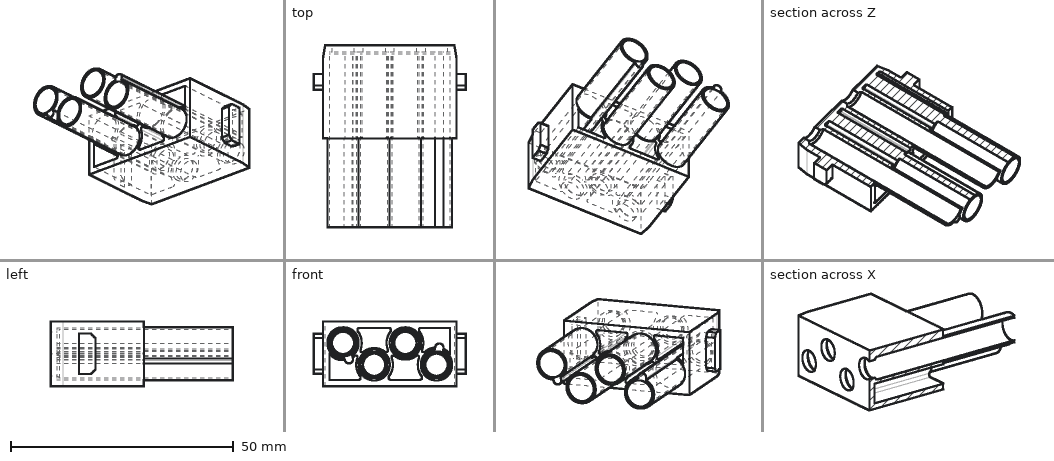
import cadquery as cq
import math

TOTAL_WIDTH = 34.2
TOTAL_LENGTH = 40.9
HOUSING_WIDTH = 30.02
HOUSING_HEIGHT = 14.6
TUBE_PROTRUSION = 20.0
HOUSING_LENGTH = TOTAL_LENGTH - TUBE_PROTRUSION

TAPER_LENGTH = 2.82
TAPER_INSET = 0.5

LATCH_LENGTH = 3.6
LATCH_HEIGHT = 9.05
LATCH_CHAMFER = 1.0
LATCH_START = 10.88

TUBE_COUNT = 4
TUBE_PITCH = 7.0
ROW_OFFSET = 2.45
TUBE_RADIUS = 3.5
MOUTH_RADIUS = 3.03
REAR_BORE_RADIUS = 2.5

RIB_RADIUS = 0.95
RIB_DISTANCE = 3.9
FIRST_RIB_LEAN = 20.0
LAST_RIB_LEAN = 9.5

WALL = 1.47
FLOOR = 1.47
POCKET_DEPTH = HOUSING_LENGTH - FLOOR
TUBE_LENGTH = TUBE_PROTRUSION + POCKET_DEPTH
INNER_CORNER_RADIUS = 0.4
OUTER_CORNER_RADIUS = 0.5
MIDPLANE_GAP = 0.35
INNER_FACING_RADIUS = 3.75
INNER_SIDE_RADIUS = 4.2
END_FACING_RADIUS = 3.9
END_SIDE_RADIUS = 4.05

TUBE_CENTRES = [
    ((i - (TUBE_COUNT - 1) / 2) * TUBE_PITCH, ROW_OFFSET if i % 2 == 0 else -ROW_OFFSET)
    for i in range(TUBE_COUNT)
]


def cylinder_along_y(centre, radius, start, length):
    """Round bar centred at (x, z), running from Y = start toward +Y."""
    x, z = centre
    return cq.Workplane("XY").add(
        cq.Solid.makeCylinder(radius, length, cq.Vector(x, start, z), cq.Vector(0, 1, 0))
    )


def make_housing():
    half_width = HOUSING_WIDTH / 2
    rear_half_width = half_width - TAPER_INSET
    taper_start = HOUSING_LENGTH - TAPER_LENGTH
    outline = [
        (-half_width, 0),
        (half_width, 0),
        (half_width, taper_start),
        (rear_half_width, HOUSING_LENGTH),
        (-rear_half_width, HOUSING_LENGTH),
        (-half_width, taper_start),
    ]
    return cq.Workplane("XY").polyline(outline).close().extrude(HOUSING_HEIGHT / 2, both=True)


def make_latches():
    """One bar through the housing; its ends stand out as the two latches."""
    return (
        cq.Workplane("XY")
        .box(TOTAL_WIDTH, LATCH_LENGTH, LATCH_HEIGHT)
        .faces("<Y")
        .edges("|X")
        .chamfer(LATCH_CHAMFER)
        .translate((0, LATCH_START + LATCH_LENGTH / 2, 0))
    )


def box_between(x_limits, z_limits):
    """Pocket-deep box spanning two X limits and two Z limits, given in any order."""
    x_min, x_max = sorted(x_limits)
    z_min, z_max = sorted(z_limits)
    box = cq.Workplane("XY").box(x_max - x_min, POCKET_DEPTH, z_max - z_min, centered=False)
    return box.translate((x_min, 0, z_min))


def make_pocket(index):
    """Pocket above or below one tube, kept clear of that tube and its neighbours."""
    x, z = TUBE_CENTRES[index]
    is_end = index in (0, TUBE_COUNT - 1)
    facing_radius = END_FACING_RADIUS if is_end else INNER_FACING_RADIUS
    side_radius = END_SIDE_RADIUS if is_end else INNER_SIDE_RADIUS
    end_wall_x = HOUSING_WIDTH / 2 - WALL
    away_from_tube = -math.copysign(1, z)
    outer_z = away_from_tube * (HOUSING_HEIGHT / 2 - WALL)
    inner_z = away_from_tube * MIDPLANE_GAP

    left = max(x - TUBE_PITCH, -end_wall_x)
    right = min(x + TUBE_PITCH, end_wall_x)
    pocket = box_between((left, right), (inner_z, outer_z))
    if is_end:
        pocket = pocket.union(box_between((x, math.copysign(end_wall_x, x)), (z, outer_z)))

    pocket = pocket.cut(cylinder_along_y((x, z), facing_radius, 0, POCKET_DEPTH))
    for neighbour in (index - 1, index + 1):
        if 0 <= neighbour < TUBE_COUNT:
            pocket = pocket.cut(cylinder_along_y(TUBE_CENTRES[neighbour], side_radius, 0, POCKET_DEPTH))

    main_solid = max(pocket.solids().vals(), key=lambda solid: solid.Volume())

    inner_corners = []
    outer_corners = []
    for edge in cq.Workplane("XY").add(main_solid).edges("|Y").vals():
        position = edge.Center()
        if abs(position.x) > end_wall_x - OUTER_CORNER_RADIUS:
            continue
        if abs(position.z) < ROW_OFFSET:
            inner_corners.append(edge)
        else:
            outer_corners.append(edge)
    rounded = main_solid.fillet(OUTER_CORNER_RADIUS, outer_corners)
    rounded = rounded.fillet(INNER_CORNER_RADIUS, inner_corners)
    return cq.Workplane("XY").add(rounded)


def make_rib(tube_centre, lean):
    """Rib standing radially on a tube, with flat flanks and a half-round top."""
    x, z = tube_centre
    crown = cylinder_along_y((0, RIB_DISTANCE), RIB_RADIUS, -TUBE_PROTRUSION, TUBE_LENGTH)
    flank_middle = (0, -TUBE_PROTRUSION + TUBE_LENGTH / 2, RIB_DISTANCE / 2)
    flanks = cq.Workplane("XY").box(2 * RIB_RADIUS, TUBE_LENGTH, RIB_DISTANCE).translate(flank_middle)
    turn = lean if z < 0 else 180 - lean
    return crown.union(flanks).rotate((0, 0, 0), (0, 1, 0), turn).translate((x, 0, z))


def make_bore(centre):
    """Stepped bore: wide through the tube, then a 45 degree shoulder and a narrow rear hole."""
    x, z = centre
    shoulder_length = MOUTH_RADIUS - REAR_BORE_RADIUS
    shoulder_start = POCKET_DEPTH - shoulder_length
    shoulder = cq.Solid.makeCone(
        MOUTH_RADIUS,
        REAR_BORE_RADIUS,
        shoulder_length,
        cq.Vector(x, shoulder_start, z),
        cq.Vector(0, 1, 0),
    )
    wide_length = TUBE_PROTRUSION + shoulder_start
    wide_bore = cylinder_along_y(centre, MOUTH_RADIUS, -TUBE_PROTRUSION, wide_length)
    rear_hole = cylinder_along_y(centre, REAR_BORE_RADIUS, POCKET_DEPTH, FLOOR)
    return wide_bore.union(cq.Workplane("XY").add(shoulder)).union(rear_hole)


result = make_housing().union(make_latches())

for tube in range(TUBE_COUNT):
    result = result.cut(make_pocket(tube))

for centre in TUBE_CENTRES:
    result = result.union(cylinder_along_y(centre, TUBE_RADIUS, -TUBE_PROTRUSION, TUBE_LENGTH))

result = result.union(make_rib(TUBE_CENTRES[0], FIRST_RIB_LEAN))
result = result.union(make_rib(TUBE_CENTRES[-1], LAST_RIB_LEAN))

for centre in TUBE_CENTRES:
    result = result.cut(make_bore(centre))